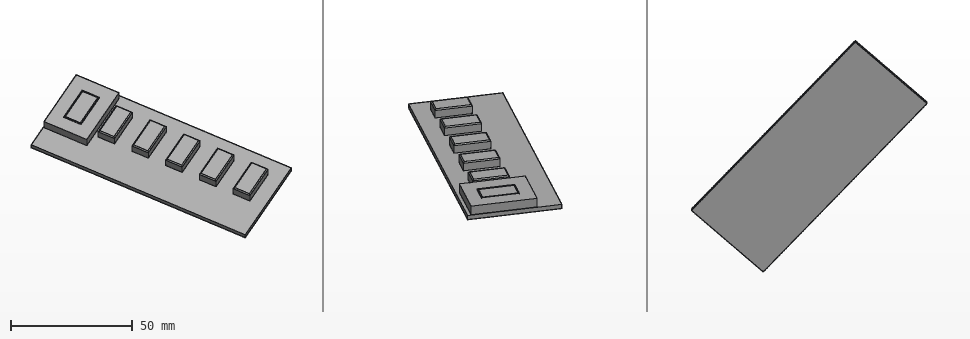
import cadquery as cq

plate_length = 100.0
plate_width = 40.0
plate_thickness = 2.0

block_length = 20.0
block_width = 28.0
block_left_margin = 0.35
block_back_margin = block_left_margin + 1.2

nominal_peg_length = 8.0
nominal_peg_width = 16.0
peg_height = 4.0
peg_chamfer = 0.5
peg_pitch = 15.8
first_peg_x = block_left_margin + block_length / 2
peg_row_y = plate_width - block_back_margin - block_width / 2

peg_clearances = [0.0, 0.2, 0.18, 0.15, 0.12, 0.1]


def make_peg(index, clearance):
    """One rectangular peg with a chamfered top, undersized by its clearance all round."""
    peg_x = first_peg_x + index * peg_pitch
    return (
        cq.Workplane("XY", origin=(peg_x, peg_row_y, plate_thickness))
        .rect(nominal_peg_length - 2 * clearance, nominal_peg_width - 2 * clearance)
        .extrude(peg_height)
        .faces(">Z")
        .chamfer(peg_chamfer)
    )


def make_base():
    """Plate and its pegs as one solid."""
    plate = cq.Workplane("XY").box(plate_length, plate_width, plate_thickness, centered=False)
    for index, clearance in enumerate(peg_clearances):
        plate = plate.union(make_peg(index, clearance))
    return plate


def make_gauge_block():
    """Block as high as the pegs, with a through window of the nominal peg size."""
    return (
        cq.Workplane("XY", origin=(first_peg_x, peg_row_y, plate_thickness))
        .rect(block_length, block_width)
        .rect(nominal_peg_length, nominal_peg_width)
        .extrude(peg_height)
    )


base = make_base()
gauge_block = make_gauge_block()

result = cq.Compound.makeCompound([base.val(), gauge_block.val()])